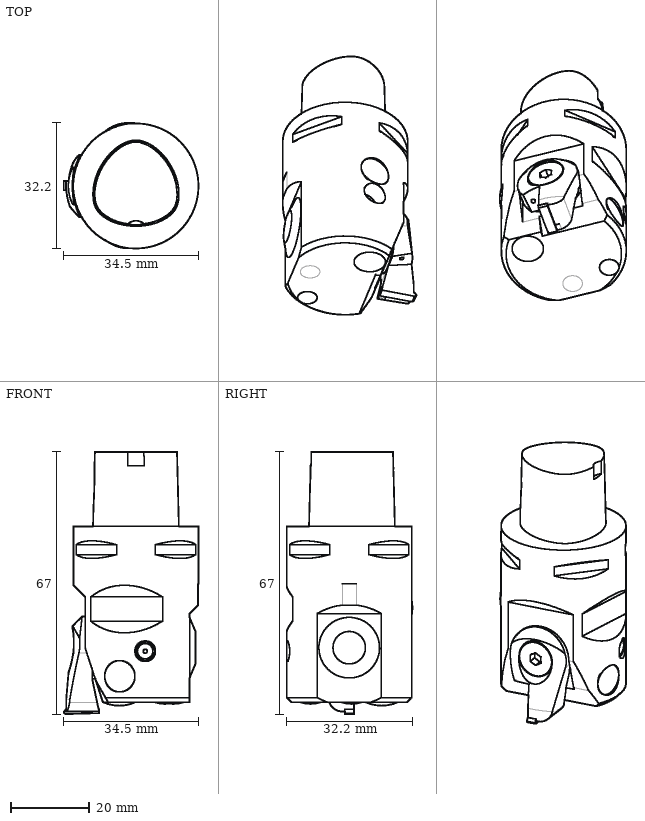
import cadquery as cq
import math


SHANK_LENGTH = 19.0
SHANK_RADIUS = 11.0
SHANK_LOBE = 0.7
SHANK_TAPER = 1 / 40
SHANK_POINTS = 48
KEYWAY_RADIUS = 3.0
KEYWAY_DEPTH = 3.5
KEYWAY_FLOOR_Y = -8.9

BODY_RADIUS = 16.0
BODY_LENGTH = 45.0
BODY_CHAMFER = 1.25
OUTSIDE = BODY_RADIUS + 4.0

NOTCH_Z = -5.95
NOTCH_HEIGHT = 2.5
NOTCH_DISTANCE = 14.25
NOTCH_BEVEL = 30.0
NOTCH_ANGLES = (45.0, 135.0, 225.0, 315.0)
SIDE_FLAT_TOP = -18.05
SIDE_FLAT_HEIGHT = 6.15
SIDE_FLAT_DISTANCE = 13.0
SIDE_FLAT_BEVEL = 45.0
SIDE_FLAT_ANGLE = 259.5

BLADE_FLAT_X = -13.0
BLADE_FLAT_TOP = -18.05
SLOPE_TOP = -31.0
SLOPE_ANGLE = 18.0
RELIEF_TOP = -39.5
RELIEF_ANGLE = 30.0
RELIEF_EDGE_Y = 3.55
SEAT_X = -9.85
SEAT_CLEARANCE = 0.02
AXIS_Z = -31.0

DIAL_FLAT_X = 13.73
DIAL_FLAT_TOP = -22.3
SKIM_X = 15.9
SKIM_TOP = -14.7
DIAL_BASE_RADIUS = 7.75
DIAL_FACE_RADIUS = 4.15
DIAL_THICKNESS = 1.5

DISC_RADIUS = 8.0
BLADE_BACK_X = -11.15
BLADE_EDGE_Y = 1.27
BLADE_BOTTOM = -47.3
FLANK_TOP_Y = 7.9
FLANK_BOTTOM = (-5.1, -45.0)
NOSE_MID = (-3.6, -46.8)
HEAD_SIDE_MID = (6.74, -36.5)
HEAD_CORNER_Y = 5.0
SHELF_Z = -39.5
SHELF_SLOPE = 15.0
SHELF_BACK_X = -10.5
COOLANT_HOLE = 1.0
COOLANT_HOLE_DEPTH = 3.0
COOLANT_HOLE_Y = 3.95
COOLANT_HOLE_Z = -38.6
FACE_RADIUS = 15.0
FACE_TILT = 5.0
FACE_X_AT_AXIS = -16.7
FACE_CREASE_Z = -44.1
CROWN_CENTRE_Z = -32.0
CROWN_RIM_X = -13.75
HEAD_BORE = 9.5
HEAD_BORE_MOUTH_SLOPE = 51.0
LIP_EDGE_Y = -1.1
TIP_X = -18.5
TIP_Z = -48.0
TIP_BEVEL = 0.5
LIP_TOP = -46.7
LIP_ROOT_X = -17.9
HEEL_X = -9.4
HEEL_Z = -47.75

SCREW_HEAD = 9.2
SCREW_SHANK = 6.0
SCREW_CLEARANCE = 6.1
SCREW_FACE_X = -15.95
SCREW_SEAT_X = -12.0
SCREW_END_X = 0.0
HEX_ACROSS_FLATS = 3.0
HEX_DEPTH = 2.5

NIPPLE_X = 2.36
NIPPLE_Z = -31.9
NIPPLE_FACE_Y = -15.0
NIPPLE_LENGTH = 5.0
NIPPLE_DIAMETER = 5.2
NIPPLE_BORE = 5.25
NIPPLE_CHAMFER = 0.2
FUNNEL_MOUTH = 3.95
FUNNEL_DEPTH = 1.5
FUNNEL_HOLE = 1.0
FUNNEL_HOLE_DEPTH = 3.0

LOCK_HOLE = 6.1
LOCK_HOLE_DEPTH = 5.0
LOCK_HOLE_ANGLE = 104.0
LOCK_HOLE_Z = -28.2

PLUG_DEPTH = 3.0
LARGE_PLUG = 8.02
LARGE_DOME = 0.85
SMALL_PLUG = 5.01
SMALL_DOME = 0.4
FRONT_PLUG_ANGLE = 254.5
FRONT_PLUG_RIM = 15.37
FRONT_PLUG_Z = -38.3
BACK_PLUG_ANGLE = 104.5
BACK_PLUG_RIM = 15.54
BACK_PLUG_Z = -20.8
BOTTOM_PLUG_XY = (-4.3, 8.3)
SMALL_PLUG_XY = (7.4, -9.9)
BOTTOM_BOSS_XY = (9.5, 0.6)


def tan(degrees):
    return math.tan(math.radians(degrees))


def radial_plane(angle, radius, z):
    """Plane facing away from the Z axis at the given azimuth, with its local Y along Z."""
    direction = (math.cos(math.radians(angle)), math.sin(math.radians(angle)))
    origin = (radius * direction[0], radius * direction[1], z)
    across = (-direction[1], direction[0], 0)
    return cq.Plane(origin=origin, xDir=across, normal=(direction[0], direction[1], 0))


def x_cylinder(diameter, x_start, x_end):
    """Cylinder along X on the common axis of the blade, the screw and the dial."""
    low = min(x_start, x_end)
    high = max(x_start, x_end)
    plane = cq.Plane(origin=(low, 0, AXIS_Z), xDir=(0, 1, 0), normal=(1, 0, 0))
    return cq.Workplane(plane).circle(diameter / 2).extrude(high - low)


def xz_prism(points, y_low, y_high):
    """Prism with an outline in the XZ plane between two Y positions."""
    return cq.Workplane("XZ", origin=(0, y_high, 0)).polyline(points).close().extrude(y_high - y_low)



def polygon_point(angle, mean_radius):
    """Point of the constant-width curve whose support function is radius + lobe * cos(3 * angle)."""
    lobe_angle = 3 * (angle - math.pi / 2)
    support = mean_radius + SHANK_LOBE * math.cos(lobe_angle)
    slope = -3 * SHANK_LOBE * math.sin(lobe_angle)
    x = support * math.cos(angle) - slope * math.sin(angle)
    y = support * math.sin(angle) + slope * math.cos(angle)
    return (x, y)


def shank_wire(z):
    mean_radius = SHANK_RADIUS - SHANK_TAPER * z
    angles = [2 * math.pi * i / SHANK_POINTS for i in range(SHANK_POINTS)]
    points = [cq.Vector(*polygon_point(angle, mean_radius), z) for angle in angles]
    return cq.Wire.assembleEdges([cq.Edge.makeSpline(points, periodic=True)])


def make_shank():
    shank = cq.Workplane(cq.Solid.makeLoft([shank_wire(0), shank_wire(SHANK_LENGTH)], True))
    keyway = (
        cq.Workplane("XY", origin=(0, KEYWAY_FLOOR_Y - KEYWAY_RADIUS, SHANK_LENGTH - KEYWAY_DEPTH))
        .circle(KEYWAY_RADIUS)
        .extrude(KEYWAY_DEPTH)
    )
    return shank.cut(keyway)


def bevelled_notch(angle, distance, z_top, height, bevel):
    """Flat-floored notch across the body, widening outward above and below its floor."""
    depth = OUTSIDE - distance
    flare = depth * tan(bevel)
    notch = (
        cq.Workplane("XZ", origin=(0, OUTSIDE, 0))
        .polyline([
            (distance, z_top),
            (OUTSIDE, z_top + flare),
            (OUTSIDE, z_top - height - flare),
            (distance, z_top - height),
        ])
        .close()
        .extrude(2 * OUTSIDE)
    )
    return notch.rotate((0, 0, 0), (0, 0, 1), angle)


def blade_side_cut():
    """Flat with a 45 degree top bevel that turns into a slope toward the bottom."""
    below = -BODY_LENGTH - 1
    slope_run = (SLOPE_TOP - below) * tan(SLOPE_ANGLE)
    return xz_prism(
        [
            (BLADE_FLAT_X, BLADE_FLAT_TOP),
            (-OUTSIDE, BLADE_FLAT_TOP + OUTSIDE + BLADE_FLAT_X),
            (-OUTSIDE, below),
            (BLADE_FLAT_X + slope_run, below),
            (BLADE_FLAT_X, SLOPE_TOP),
        ],
        -OUTSIDE,
        OUTSIDE,
    )


def relief_cut():
    """Steeper slope below the blade, on the -Y part of the bottom edge."""
    below = -BODY_LENGTH - 1
    start_x = BLADE_FLAT_X + (SLOPE_TOP - RELIEF_TOP) * tan(SLOPE_ANGLE)
    end_x = start_x + (RELIEF_TOP - below) * tan(RELIEF_ANGLE)
    return xz_prism(
        [(start_x, RELIEF_TOP), (-OUTSIDE, RELIEF_TOP), (-OUTSIDE, below), (end_x, below)],
        -OUTSIDE,
        RELIEF_EDGE_Y,
    )


def seat_cut():
    """U-shaped pocket for the blade disc, open at the bottom."""
    width = 2 * (DISC_RADIUS + SEAT_CLEARANCE)
    depth = OUTSIDE + SEAT_X
    drop = AXIS_Z + BODY_LENGTH + 1
    channel = cq.Workplane("XY").box(depth, width, drop, centered=(False, True, False))
    channel = channel.translate((-OUTSIDE, 0, AXIS_Z - drop))
    return x_cylinder(width, -OUTSIDE, SEAT_X).union(channel)


def dial_side_cut():
    """Shallow skim, then a 45 degree step down to the flat that carries the dial."""
    below = -BODY_LENGTH - 1
    return xz_prism(
        [
            (SKIM_X, SKIM_TOP),
            (OUTSIDE, SKIM_TOP),
            (OUTSIDE, below),
            (DIAL_FLAT_X, below),
            (DIAL_FLAT_X, DIAL_FLAT_TOP),
            (SKIM_X, DIAL_FLAT_TOP + SKIM_X - DIAL_FLAT_X),
        ],
        -OUTSIDE,
        OUTSIDE,
    )


def domed_cap(plane, diameter, depth, height):
    """Cylinder reaching depth below the plane, with a spherical dome above it."""
    radius = diameter / 2
    sphere_radius = (radius**2 + height**2) / (2 * height)
    sphere = cq.Workplane(plane).sphere(sphere_radius)
    sphere = sphere.translate(plane.zDir * (height - sphere_radius))
    cylinder = cq.Workplane(plane).workplane(offset=-depth).circle(radius).extrude(depth + height)
    above = cq.Workplane(plane).circle(radius).extrude(height)
    return cylinder.cut(above.cut(sphere))


def bottom_plane(x, y):
    return cq.Plane(origin=(x, y, -BODY_LENGTH), xDir=(1, 0, 0), normal=(0, 0, -1))


plug_seats = [
    (radial_plane(FRONT_PLUG_ANGLE, FRONT_PLUG_RIM, FRONT_PLUG_Z), LARGE_PLUG, LARGE_DOME),
    (radial_plane(BACK_PLUG_ANGLE, BACK_PLUG_RIM, BACK_PLUG_Z), LARGE_PLUG, LARGE_DOME),
    (bottom_plane(*BOTTOM_PLUG_XY), LARGE_PLUG, LARGE_DOME),
    (bottom_plane(*SMALL_PLUG_XY), SMALL_PLUG, SMALL_DOME),
]


def nipple_workplane():
    return cq.Workplane("XZ", origin=(NIPPLE_X, NIPPLE_FACE_Y, NIPPLE_Z))


def make_holder():
    body = cq.Workplane("XY").circle(BODY_RADIUS).extrude(-BODY_LENGTH)
    body = body.faces("<Z").chamfer(BODY_CHAMFER)
    for angle in NOTCH_ANGLES:
        notch_top = NOTCH_Z + NOTCH_HEIGHT / 2
        body = body.cut(bevelled_notch(angle, NOTCH_DISTANCE, notch_top, NOTCH_HEIGHT, NOTCH_BEVEL))
    body = body.cut(
        bevelled_notch(SIDE_FLAT_ANGLE, SIDE_FLAT_DISTANCE, SIDE_FLAT_TOP, SIDE_FLAT_HEIGHT, SIDE_FLAT_BEVEL)
    )
    body = body.cut(blade_side_cut()).cut(relief_cut()).cut(seat_cut()).cut(dial_side_cut())
    body = body.cut(x_cylinder(SCREW_SHANK, SEAT_X, SCREW_END_X))
    for plane, diameter, _ in plug_seats:
        bore = cq.Workplane(plane).workplane(offset=-PLUG_DEPTH).circle(diameter / 2).extrude(2 * PLUG_DEPTH)
        body = body.cut(bore)
    nipple_bore = nipple_workplane().circle(NIPPLE_BORE / 2).extrude(NIPPLE_LENGTH, both=True)
    lock_plane = radial_plane(LOCK_HOLE_ANGLE, BODY_RADIUS, LOCK_HOLE_Z)
    lock_hole = cq.Workplane(lock_plane).circle(LOCK_HOLE / 2).extrude(LOCK_HOLE_DEPTH, both=True)
    body = body.cut(nipple_bore).cut(lock_hole)
    boss = domed_cap(bottom_plane(*BOTTOM_BOSS_XY), SMALL_PLUG, PLUG_DEPTH, SMALL_DOME)
    return body.union(boss).union(make_shank())



def blade_outline():
    """Round head running down into a narrow blade, in YZ coordinates."""
    flank_top_z = AXIS_Z - math.sqrt(DISC_RADIUS**2 - FLANK_TOP_Y**2)
    return (
        cq.Workplane("YZ", origin=(-OUTSIDE, 0, 0))
        .moveTo(-FLANK_TOP_Y, flank_top_z)
        .threePointArc((0, AXIS_Z + DISC_RADIUS), (DISC_RADIUS, AXIS_Z))
        .threePointArc(HEAD_SIDE_MID, (HEAD_CORNER_Y, SHELF_Z))
        .lineTo(BLADE_EDGE_Y, SHELF_Z)
        .lineTo(BLADE_EDGE_Y, BLADE_BOTTOM)
        .lineTo(LIP_EDGE_Y, BLADE_BOTTOM)
        .threePointArc(NOSE_MID, FLANK_BOTTOM)
        .close()
    )


def blade_face_envelope():
    """Leaning cylinder that bounds the outer face of the blade, upright below the crease."""
    upright = cq.Workplane("XY").circle(FACE_RADIUS).extrude(BODY_LENGTH, both=True)
    leaning = upright.rotate((0, 0, 0), (0, 1, 0), FACE_TILT)
    reach = FACE_RADIUS / math.cos(math.radians(FACE_TILT))
    crease_x = FACE_X_AT_AXIS - (AXIS_Z - FACE_CREASE_Z) * tan(FACE_TILT)
    leaning = leaning.translate((FACE_X_AT_AXIS + reach, 0, AXIS_Z))
    upright = upright.translate((crease_x + FACE_RADIUS, 0, AXIS_Z))
    return leaning.intersect(upright)


def crown_cut():
    """45 degree conical bevel around the upper edge of the round head."""
    rim_radius = AXIS_Z + DISC_RADIUS - CROWN_CENTRE_Z
    apex_x = CROWN_RIM_X - rim_radius
    base = BLADE_BACK_X - apex_x
    cone = cq.Workplane(
        cq.Solid.makeCone(0, base, base, pnt=(apex_x, 0, CROWN_CENTRE_Z), dir=(1, 0, 0))
    )
    block = cq.Workplane("XY").box(
        OUTSIDE + BLADE_BACK_X, 2 * OUTSIDE, OUTSIDE, centered=(False, True, False)
    )
    return block.translate((-OUTSIDE, 0, CROWN_CENTRE_Z)).cut(cone)


def head_bore_mouth():
    """Cone opening the screw-head bore where the leaning face stands proud of it."""
    height = OUTSIDE + SCREW_FACE_X
    mouth_radius = HEAD_BORE / 2 + height * tan(HEAD_BORE_MOUTH_SLOPE)
    start = cq.Vector(SCREW_FACE_X, 0, AXIS_Z)
    return cq.Workplane(
        cq.Solid.makeCone(HEAD_BORE / 2, mouth_radius, height, pnt=start, dir=(-1, 0, 0))
    )


def shelf_cut():
    """Sloping underside of the head beside the blade, and the coolant hole that opens in it."""
    rise = (OUTSIDE + SHELF_BACK_X) * tan(SHELF_SLOPE)
    wedge = xz_prism(
        [(SHELF_BACK_X, SHELF_Z), (-OUTSIDE, SHELF_Z + rise), (-OUTSIDE, SHELF_Z)],
        BLADE_EDGE_Y,
        DISC_RADIUS,
    )
    hole_x = SHELF_BACK_X - (COOLANT_HOLE_Z - SHELF_Z) / tan(SHELF_SLOPE)
    hole = (
        cq.Workplane("XY", origin=(hole_x, COOLANT_HOLE_Y, SHELF_Z))
        .circle(COOLANT_HOLE / 2)
        .extrude(COOLANT_HOLE_DEPTH)
    )
    return wedge.union(hole)


def blade_heel():
    """Part of the blade behind its back plane, thickening toward the cutting edge."""
    heel = xz_prism(
        [
            (BLADE_BACK_X, AXIS_Z - DISC_RADIUS),
            (HEEL_X, BLADE_BOTTOM),
            (-OUTSIDE, BLADE_BOTTOM),
            (-OUTSIDE, AXIS_Z - DISC_RADIUS),
        ],
        -OUTSIDE,
        BLADE_EDGE_Y,
    )
    return heel.intersect(blade_outline().extrude(OUTSIDE))


def cutting_lip():
    """Thin pointed lip along the bottom of the blade."""
    return xz_prism(
        [
            (HEEL_X, LIP_TOP),
            (HEEL_X, HEEL_Z),
            (TIP_X + TIP_BEVEL, TIP_Z),
            (TIP_X, TIP_Z + TIP_BEVEL),
            (LIP_ROOT_X, LIP_TOP),
        ],
        LIP_EDGE_Y,
        BLADE_EDGE_Y,
    )


def make_blade():
    blade = blade_outline().extrude(OUTSIDE + BLADE_BACK_X).union(blade_heel())
    blade = blade.intersect(blade_face_envelope()).cut(crown_cut()).cut(shelf_cut())
    blade = blade.cut(x_cylinder(HEAD_BORE, SCREW_SEAT_X, -OUTSIDE)).cut(head_bore_mouth())
    blade = blade.cut(x_cylinder(SCREW_CLEARANCE, SCREW_SEAT_X, BLADE_BACK_X)).union(cutting_lip())
    disc = x_cylinder(2 * DISC_RADIUS, BLADE_BACK_X, SEAT_X)
    disc = disc.cut(x_cylinder(SCREW_CLEARANCE, BLADE_BACK_X, SEAT_X))
    return blade.union(disc, clean=False)



def make_screw():
    head = x_cylinder(SCREW_HEAD, SCREW_FACE_X, SCREW_SEAT_X)
    shank = x_cylinder(SCREW_SHANK, SCREW_SEAT_X, SCREW_END_X)
    socket_plane = cq.Plane(origin=(SCREW_FACE_X, 0, AXIS_Z), xDir=(0, 0, 1), normal=(1, 0, 0))
    across_corners = HEX_ACROSS_FLATS / math.cos(math.pi / 6)
    socket = cq.Workplane(socket_plane).polygon(6, across_corners).extrude(HEX_DEPTH)
    return head.union(shank).cut(socket)



def make_dial():
    start = cq.Vector(DIAL_FLAT_X, 0, AXIS_Z)
    direction = cq.Vector(1, 0, 0)
    return cq.Workplane(
        cq.Solid.makeCone(DIAL_BASE_RADIUS, DIAL_FACE_RADIUS, DIAL_THICKNESS, pnt=start, dir=direction)
    )



def make_nipple():
    nipple = nipple_workplane().circle(NIPPLE_DIAMETER / 2).extrude(-NIPPLE_LENGTH)
    nipple = nipple.faces("<Y").chamfer(NIPPLE_CHAMFER)
    mouth = cq.Vector(NIPPLE_X, NIPPLE_FACE_Y, NIPPLE_Z)
    funnel = cq.Solid.makeCone(
        FUNNEL_MOUTH / 2, FUNNEL_HOLE / 2, FUNNEL_DEPTH, pnt=mouth, dir=cq.Vector(0, 1, 0)
    )
    hole = nipple_workplane().circle(FUNNEL_HOLE / 2).extrude(-FUNNEL_HOLE_DEPTH)
    return nipple.cut(cq.Workplane(funnel)).cut(hole)



def make_plugs():
    return [domed_cap(plane, diameter, PLUG_DEPTH, dome) for plane, diameter, dome in plug_seats]


holder = make_holder()
blade = make_blade()
screw = make_screw()
dial = make_dial()
nipple = make_nipple()
plugs = make_plugs()

result = cq.Compound.makeCompound([
    holder.val(),
    blade.val(),
    screw.val(),
    dial.val(),
    nipple.val(),
    *[plug.val() for plug in plugs],
])